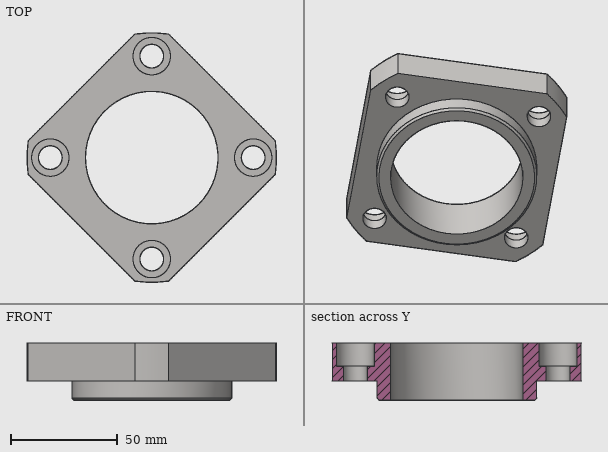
import cadquery as cq

flange_diameter = 116.9
flange_side = 93.0
flange_thickness = 18.0

spigot_diameter = 75.0
spigot_height = 9.0
spigot_chamfer = 1.0
bore_diameter = 62.0

screw_circle_diameter = 95.0
screw_count = 4
screw_diameter = 11.0
head_diameter = 17.5
head_depth = 11.0


def make_flange():
    """Square plate trimmed by a cylinder; its underside lies at Z = 0."""
    square = (
        cq.Workplane("XY")
        .transformed(rotate=(0, 0, 45))
        .rect(flange_side, flange_side)
        .extrude(flange_thickness)
    )
    disc = cq.Workplane("XY").circle(flange_diameter / 2).extrude(flange_thickness)
    return square.intersect(disc)


def make_spigot():
    """Locating spigot with a chamfered lower rim."""
    return (
        cq.Workplane("XY")
        .circle(spigot_diameter / 2)
        .extrude(-spigot_height)
        .faces("<Z")
        .chamfer(spigot_chamfer)
    )


def cut_bore(body):
    return body.faces(">Z").workplane(origin=(0, 0, 0)).hole(bore_diameter)


def cut_screw_holes(body):
    return (
        body.faces(">Z")
        .workplane(origin=(0, 0, 0))
        .polarArray(screw_circle_diameter / 2, 0, 360, screw_count)
        .cboreHole(screw_diameter, head_diameter, head_depth)
    )


result = cut_screw_holes(cut_bore(make_flange().union(make_spigot())))